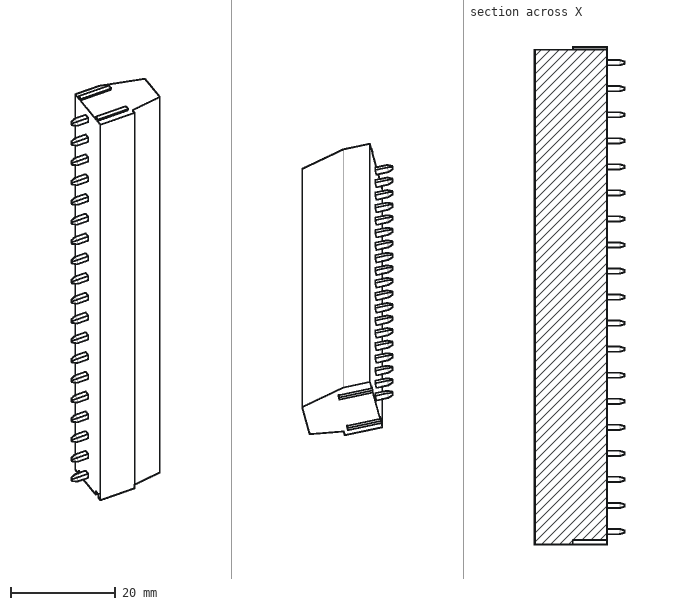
import cadquery as cq


TOTAL_HEIGHT = 95.6
RAIL_HEIGHT = 0.59
BODY_HEIGHT = TOTAL_HEIGHT - RAIL_HEIGHT
BODY_WIDTH = 10.2
TOTAL_DEPTH = 17.3
PIN_LENGTH = 3.3
BODY_DEPTH = TOTAL_DEPTH - PIN_LENGTH

LEFT_SLOPE_START = 5.3
BACK_LEFT = 2.3
BACK_RIGHT = 8.4
STEP_DEPTH = 7.5
STEP_WIDTH = 0.9

RAIL_LENGTH = 6.6
RAIL_WIDTH = 1.0
RAIL_ROOT_WIDTH = 0.4
RAIL_CENTERS = (1.9, 8.8)
SLOT_HEIGHT = 0.9

PIN_COUNT = 19
PIN_PITCH = BODY_HEIGHT / PIN_COUNT
PIN_X = 4.8
PIN_SIZE = 1.05
TIP_LENGTH = 1.0
TIP_SIZE = 0.5


def make_body():
    """Tapered cross-section extruded over the full body height."""
    return (
        cq.Workplane("XY")
        .moveTo(0, 0)
        .lineTo(BODY_WIDTH, 0)
        .lineTo(BODY_WIDTH, STEP_DEPTH)
        .lineTo(BODY_WIDTH - STEP_WIDTH, STEP_DEPTH)
        .lineTo(BACK_RIGHT, BODY_DEPTH)
        .lineTo(BACK_LEFT, BODY_DEPTH)
        .lineTo(0, LEFT_SLOPE_START)
        .close()
        .extrude(BODY_HEIGHT)
    )


def make_bar(center_x, base_z, height, base_width):
    """Bar along Y from the pin face, with its own base width and the rail width on top."""
    half_base = base_width / 2
    half_top = RAIL_WIDTH / 2
    return (
        cq.Workplane("XZ")
        .moveTo(center_x - half_base, base_z)
        .lineTo(center_x + half_base, base_z)
        .lineTo(center_x + half_top, base_z + height)
        .lineTo(center_x - half_top, base_z + height)
        .close()
        .extrude(-RAIL_LENGTH)
    )


def make_pin(center_z):
    """Square pin with a tapered tip."""
    shank_length = PIN_LENGTH - TIP_LENGTH
    shank = (
        cq.Workplane("XZ")
        .center(PIN_X, center_z)
        .rect(PIN_SIZE, PIN_SIZE)
        .extrude(shank_length)
    )
    tip = (
        cq.Workplane("XZ", origin=(0, -shank_length, 0))
        .center(PIN_X, center_z)
        .rect(PIN_SIZE, PIN_SIZE)
        .workplane(offset=TIP_LENGTH)
        .rect(TIP_SIZE, TIP_SIZE)
        .loft()
    )
    return shank.union(tip)


result = make_body()

for rail_x in RAIL_CENTERS:
    result = result.union(make_bar(rail_x, BODY_HEIGHT, RAIL_HEIGHT, RAIL_ROOT_WIDTH))
    result = result.cut(make_bar(rail_x, 0, SLOT_HEIGHT, RAIL_WIDTH))

for pin_index in range(PIN_COUNT):
    result = result.union(make_pin((pin_index + 0.5) * PIN_PITCH))